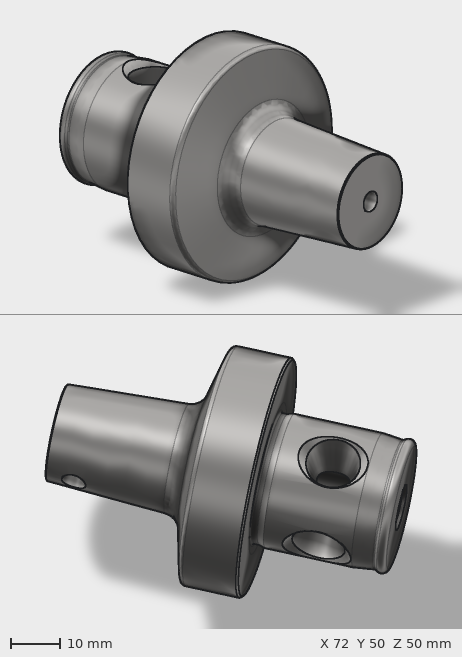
import cadquery as cq
import math

length = 72.0
flange_diameter = 50.0
spigot_diameter = 28.0
tip_diameter = 20.15

flange_radius = flange_diameter / 2
spigot_radius = spigot_diameter / 2
tip_radius = tip_diameter / 2

lip_radius = 1.2
lip_slope = math.radians(28)
lead_in_slope = math.radians(6.5)
lead_in_end = 7.0
valley_fillet = 0.6

relief_start = 25.4
relief_floor_start = 26.8
relief_radius = 13.6
flange_start = 28.0
undercut_radius = 15.8
undercut_slope = math.radians(9)
undercut_fillet = 0.5

flange_corner = 40.4
flange_chamfer = 0.4
flange_fillet = 1.0
flange_back_slope = math.radians(15)

neck_slope = math.radians(3)
neck_fillet = 4.0
tip_chamfer = 0.2

bore_diameter = 8.65
bore_depth = 30.25
bore_chamfer_width = 0.4
bore_chamfer_length = 0.8
through_diameter = 4.3
drill_point_half_angle = math.radians(59)

clamp_position = 14.25
clamp_seat_radius = 5.55
clamp_seat_height = 12.4
clamp_half_angle = math.radians(15)
clamp_turns = (0, -90)

cross_hole_position = 65.95
cross_hole_diameter = 5.05


def meeting_point(point_a, slope_a, point_b, slope_b):
    """Point where two lines meet, each given by a point and its rise per unit of x."""
    x = (point_b[1] - slope_b * point_b[0] - point_a[1] + slope_a * point_a[0]) / (slope_a - slope_b)
    return x, point_a[1] + slope_a * (x - point_a[0])


def lip_point(angle):
    """Point on the rounded lip, with the angle measured from the radial direction toward +X."""
    return (
        lip_radius + lip_radius * math.sin(angle),
        spigot_radius - lip_radius + lip_radius * math.cos(angle),
    )


lip_end = lip_point(lip_slope)
valley = meeting_point(
    lip_end, -math.tan(lip_slope), (lead_in_end, spigot_radius), math.tan(lead_in_slope)
)
undercut_depth = (undercut_radius - relief_radius) * math.tan(undercut_slope)
undercut_corner = (flange_start + undercut_depth, relief_radius)
neck_corner = meeting_point(
    (flange_corner, flange_radius),
    -1 / math.tan(flange_back_slope),
    (length, tip_radius),
    -math.tan(neck_slope),
)


def round_edge(body, corner, radius):
    """Fillet the circular edge that a profile corner sweeps around the X axis."""
    x, r = corner
    tolerance = 0.01
    reach = r + tolerance
    around = cq.selectors.BoxSelector(
        (x - tolerance, -reach, -reach), (x + tolerance, reach, reach), boundingbox=True
    )
    edges = [edge for edge in body.edges(around).vals() if abs(edge.radius() - r) < tolerance]
    return body.newObject(edges).fillet(radius)


def make_blank():
    """Turned outside shape."""
    blank = (
        cq.Workplane("XY")
        .moveTo(0, 0)
        .lineTo(0, spigot_radius - lip_radius)
        .threePointArc(lip_point(0), lip_end)
        .lineTo(*valley)
        .lineTo(lead_in_end, spigot_radius)
        .lineTo(relief_start, spigot_radius)
        .lineTo(relief_floor_start, relief_radius)
        .lineTo(*undercut_corner)
        .lineTo(flange_start, undercut_radius)
        .lineTo(flange_start, flange_radius - flange_chamfer)
        .lineTo(flange_start + flange_chamfer, flange_radius)
        .lineTo(flange_corner, flange_radius)
        .lineTo(*neck_corner)
        .lineTo(length - tip_chamfer, tip_radius + tip_chamfer * math.tan(neck_slope))
        .lineTo(length, tip_radius - tip_chamfer)
        .lineTo(length, 0)
        .close()
        .revolve(360, (0, 0, 0), (1, 0, 0))
    )
    blank = round_edge(blank, valley, valley_fillet)
    blank = round_edge(blank, undercut_corner, undercut_fillet)
    blank = round_edge(blank, (flange_corner, flange_radius), flange_fillet)
    return round_edge(blank, neck_corner, neck_fillet)


def make_bore():
    """Chamfered bore with a conical end, leading into the through hole."""
    bore_radius = bore_diameter / 2
    through_radius = through_diameter / 2
    point_length = (bore_radius - through_radius) / math.tan(drill_point_half_angle)
    return (
        cq.Workplane("XY")
        .moveTo(0, 0)
        .lineTo(0, bore_radius + bore_chamfer_width)
        .lineTo(bore_chamfer_length, bore_radius)
        .lineTo(bore_depth, bore_radius)
        .lineTo(bore_depth + point_length, through_radius)
        .lineTo(length, through_radius)
        .lineTo(length, 0)
        .close()
        .revolve(360, (0, 0, 0), (1, 0, 0))
    )


def make_clamp_recess():
    """Clamping cone along +Z with a 45 degree countersink, reaching down to the bore axis."""
    bottom_radius = clamp_seat_radius - clamp_seat_height * math.tan(clamp_half_angle)
    mouth_radius = clamp_seat_radius + spigot_radius - clamp_seat_height
    return (
        cq.Workplane("XZ")
        .moveTo(0, 0)
        .lineTo(bottom_radius, 0)
        .lineTo(clamp_seat_radius, clamp_seat_height)
        .lineTo(mouth_radius, spigot_radius)
        .lineTo(0, spigot_radius)
        .close()
        .revolve(360, (0, 0, 0), (0, 1, 0))
        .translate((clamp_position, 0, 0))
    )


def make_cross_hole():
    """Radial hole from the +Y side of the neck into the through hole."""
    return (
        cq.Workplane("XZ", origin=(cross_hole_position, 0, 0))
        .circle(cross_hole_diameter / 2)
        .extrude(-flange_radius)
    )


holder = make_blank().cut(make_bore())
for turn in clamp_turns:
    holder = holder.cut(make_clamp_recess().rotate((0, 0, 0), (1, 0, 0), turn))
holder = holder.cut(make_cross_hole())

result = cq.Compound.makeCompound([holder.val()])